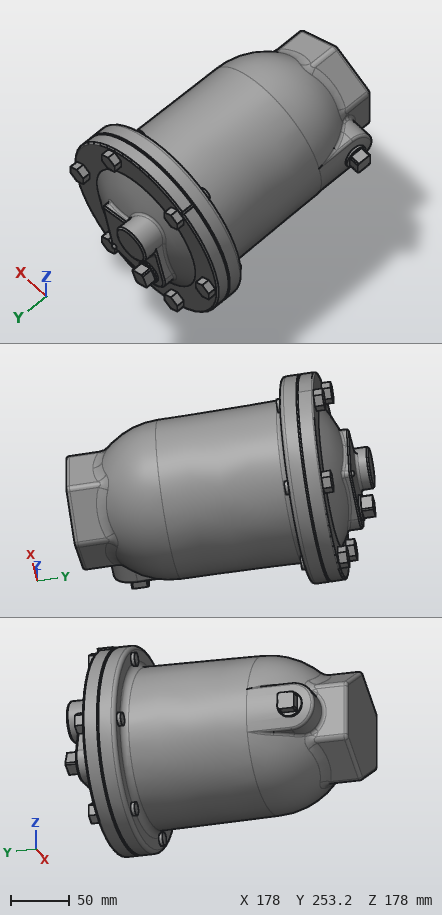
import cadquery as cq
import math


tolerance = 0.03

wall_radius_at_dome = 68.3
wall_radius_at_neck = 69.8
dome_center_y = 81.7
neck_y = 186.0

flange_radius = 178.0 / 2
flange_back_y = 191.8
flange_edge_radius = 3.5
gasket_y = 206.5
gasket_thickness = 1.5
gasket_inset = 0.5
cover_top_y = 221.0
cover_edge_radius = 1.5

hex_across_flats = 86.0
hex_corner_radius = 5.5
hex_end_radius = 3.0
hex_root_radius = 12.0

hex_half_angle = 30

lug_center_y = 42.8
lug_radius = 21.0
lug_inner_x = -30.4
lug_edge_radius = 2.5
lug_root_radius = 3.0

plug_disc_radius = 11.0
plug_disc_height = 1.8
plug_square = 14.7
plug_corner_chamfer = 1.3
plug_head_height = 9.9
plug_root = 2.5

cover_dome_foot_radius = 61.2
cover_dome_height = 19.0

plate_top_y = 241.5
plate_edge_chamfer = 1.5
plate_lobe_radius = 18.0
plate_corner_radius = 3.0
rivet_corner_radius = 4.5
cover_plug_center = (-26.3, -15.5)
cover_plug_turn = 25.0
plate_upper_left = (-28.3, 32.0)
plate_upper_right = (29.4, 17.5)
rivet_center = (16.7, -26.8)
rivet_radius = 2.5
inlet_center = (-15.0, 26.0)
inlet_radius = 18.0
inlet_edge_chamfer = 1.5
inlet_top_y = 253.0
cover_root_radius = 2.5

bolt_count = 6
bolt_circle_radius = 78.0
bolt_radius = 5.8
bolt_end_y = 188.5
bolt_head_across_flats = 16.0
bolt_head_height = 7.5

tab_angle = 120.0
tab_width = 2.0
tab_reach = 1.5
tab_root = 1.5


def plane_at(y, x=0.0, z=0.0):
    """Workplane facing -Y whose local axes are X and Z; extrude negative to go +Y."""
    return cq.Workplane("XZ", origin=(x, y, z))


def regular_hexagon(across_flats, y, depth, center=(0.0, 0.0)):
    """Hexagonal prism from y towards +Y with two corners on the Z direction."""
    across_corners = across_flats / math.cos(math.radians(hex_half_angle))
    return (
        plane_at(y, *center)
        .transformed(rotate=(0, 0, hex_half_angle))
        .polygon(6, across_corners)
        .extrude(-depth)
    )


def outline_around(circles, y, depth):
    """Prism whose outline wraps tightly around circles (x, z, radius), listed counter-clockwise."""
    normals = []
    for (x1, z1, r1), (x2, z2, r2) in zip(circles, circles[1:] + circles[:1]):
        heading = math.atan2(z2 - z1, x2 - x1)
        normal = heading - math.acos((r1 - r2) / math.hypot(x2 - x1, z2 - z1))
        normals.append(normal)
    outline = plane_at(y)
    for index, (x, z, r) in enumerate(circles):
        angle_in = normals[index - 1]
        sweep = (normals[index] - angle_in) % (2 * math.pi)
        points = [
            (x + r * math.cos(angle_in + part * sweep), z + r * math.sin(angle_in + part * sweep))
            for part in (0.0, 0.5, 1.0)
        ]
        outline = outline.lineTo(*points[0]) if index else outline.moveTo(*points[0])
        outline = outline.threePointArc(points[1], points[2])
    return outline.close().extrude(-depth)


def make_vessel():
    """Domed vessel wall and lower flange, turned about Y."""
    neck_fillet = flange_back_y - neck_y
    neck_mid = neck_fillet * (1 - math.sqrt(0.5))
    dome_mid = wall_radius_at_dome * math.sqrt(0.5)
    profile = (
        cq.Workplane("XY")
        .moveTo(0, dome_center_y - wall_radius_at_dome)
        .threePointArc((dome_mid, dome_center_y - dome_mid), (wall_radius_at_dome, dome_center_y))
        .lineTo(wall_radius_at_neck, neck_y)
        .threePointArc(
            (wall_radius_at_neck + neck_mid, flange_back_y - neck_mid),
            (wall_radius_at_neck + neck_fillet, flange_back_y),
        )
        .lineTo(flange_radius, flange_back_y)
        .lineTo(flange_radius, gasket_y)
        .lineTo(0, gasket_y)
        .close()
    )
    vessel = profile.revolve(360, (0, 0, 0), (0, 1, 0))

    def is_back_rim(edge):
        outer = edge.geomType() == "CIRCLE" and edge.radius() > flange_radius - tolerance
        return outer and abs(edge.Center().y - flange_back_y) < tolerance

    return vessel.edges().filter(is_back_rim).fillet(flange_edge_radius)


def make_hex_end():
    """Hexagonal end with rounded corners and a rounded end face."""
    prism = regular_hexagon(hex_across_flats, 0, dome_center_y)
    return prism.edges("|Y").fillet(hex_corner_radius).faces("<Y").edges().fillet(hex_end_radius)


def make_drain_lug():
    """Round-ended lug whose face carries on the cylinder of the vessel wall."""
    slot = (
        cq.Workplane("YZ", origin=(lug_inner_x, 0, 0))
        .moveTo(dome_center_y, lug_radius)
        .lineTo(lug_center_y, lug_radius)
        .threePointArc((lug_center_y - lug_radius, 0), (lug_center_y, -lug_radius))
        .lineTo(dome_center_y, -lug_radius)
        .close()
        .extrude(-2 * wall_radius_at_dome)
    )
    wall = plane_at(0).circle(wall_radius_at_dome).extrude(-dome_center_y)
    lug = slot.intersect(wall)

    def is_face_edge(edge):
        sample = edge.positionAt(0.5)
        from_axis = math.hypot(sample.x, sample.z)
        return abs(from_axis - wall_radius_at_dome) < tolerance and sample.y < dome_center_y - tolerance

    return lug.edges().filter(is_face_edge).fillet(lug_edge_radius)


def make_shell():
    """Vessel, hex end and drain lug in one piece, with the seams between them rounded."""
    joined = make_vessel().union(make_hex_end())

    def is_hex_seam(edge):
        """True on the closed chain of edges where the hexagon meets the dome."""
        sample = edge.positionAt(0.5)
        from_dome_center = math.dist(sample.toTuple(), (0, dome_center_y, 0))
        on_dome = abs(from_dome_center - wall_radius_at_dome) < tolerance
        return on_dome and sample.y < lug_center_y

    shell = joined.edges().filter(is_hex_seam).fillet(hex_root_radius).union(make_drain_lug())

    def is_lug_root(edge):
        """True on the curved edges where the lug sides run into the dome and the hex end."""
        sample = edge.positionAt(0.5)
        from_slot_line = math.hypot(min(sample.y - lug_center_y, 0), sample.z)
        on_lug_side = abs(from_slot_line - lug_radius) < tolerance
        inside_face = math.hypot(sample.x, sample.z) < wall_radius_at_dome - 2 * lug_edge_radius
        return on_lug_side and inside_face and edge.geomType() != "LINE"

    return shell.edges().filter(is_lug_root).fillet(lug_root_radius)


def make_plug(base, turn=0.0):
    """Pipe plug rooted on a workplane: a sealing disc and a square drive with bevelled corners."""
    drive_height = plug_root + plug_disc_height + plug_head_height
    disc = base.circle(plug_disc_radius).extrude(plug_root + plug_disc_height)
    drive = cq.Workplane("XY").rect(plug_square, plug_square).extrude(drive_height)
    drive = drive.edges("|Z").chamfer(plug_corner_chamfer).rotate((0, 0, 0), (0, 0, 1), turn)
    return disc.union(cq.Workplane(drive.val().located(base.plane.location)))


def make_cover_dome():
    """Shallow spherical cap on top of the cover flange."""
    sphere_radius = (cover_dome_foot_radius**2 + cover_dome_height**2) / (2 * cover_dome_height)
    half_angle = math.asin(cover_dome_foot_radius / sphere_radius) / 2
    center_y = cover_top_y + cover_dome_height - sphere_radius
    mid = (sphere_radius * math.sin(half_angle), center_y + sphere_radius * math.cos(half_angle))
    return (
        cq.Workplane("XY")
        .moveTo(0, cover_top_y)
        .lineTo(cover_dome_foot_radius, cover_top_y)
        .threePointArc(mid, (0, cover_top_y + cover_dome_height))
        .close()
        .revolve(360, (0, 0, 0), (0, 1, 0))
    )


def make_cover_flange():
    """Gasket and cover flange."""
    cover_y = gasket_y + gasket_thickness
    gasket = plane_at(gasket_y).circle(flange_radius - gasket_inset).extrude(-gasket_thickness)
    plate = plane_at(cover_y).circle(flange_radius).extrude(-(cover_top_y - cover_y))
    return gasket.union(plate.faces(">Y").edges().fillet(cover_edge_radius))


def make_cover_plate():
    """Raised plate on the cover dome."""
    plate = outline_around(
        [
            cover_plug_center + (plate_lobe_radius,),
            rivet_center + (rivet_corner_radius,),
            plate_upper_right + (plate_corner_radius,),
            plate_upper_left + (plate_corner_radius,),
        ],
        cover_top_y,
        plate_top_y - cover_top_y,
    )
    return plate.faces(">Y").edges().chamfer(plate_edge_chamfer)


def make_inlet_boss():
    """Round inlet boss with a bevelled rim."""
    boss = plane_at(cover_top_y, *inlet_center).circle(inlet_radius).extrude(cover_top_y - inlet_top_y)
    return boss.faces(">Y").edges().chamfer(inlet_edge_chamfer)


def make_rivet():
    """Round-headed rivet: a ball sunk to half its height in the cover plate."""
    x, z = rivet_center
    return cq.Workplane("XY", origin=(x, plate_top_y, z)).sphere(rivet_radius)


def make_raised_cover():
    """Cover plate and inlet boss, with the seam between them rounded."""

    def is_boss_seam(edge):
        sample = edge.positionAt(0.5)
        from_boss_axis = math.hypot(sample.x - inlet_center[0], sample.z - inlet_center[1])
        on_plate_top = edge.geomType() == "CIRCLE" and abs(sample.y - plate_top_y) < tolerance
        return on_plate_top and abs(from_boss_axis - inlet_radius) < tolerance

    raised = make_cover_plate().union(make_inlet_boss())
    return raised.edges().filter(is_boss_seam).fillet(cover_root_radius)


def make_cover():
    """Cover with its dome, plate and inlet boss, rounded where these meet the dome."""
    cover = make_cover_flange().union(make_cover_dome()).union(make_raised_cover())
    dome_top_y = cover_top_y + cover_dome_height

    def is_dome_seam(edge):
        height = edge.Center().y
        on_dome = cover_top_y + tolerance < height < dome_top_y - tolerance
        return on_dome and edge.geomType() != "LINE"

    return cover.edges().filter(is_dome_seam).fillet(cover_root_radius).union(make_rivet())


def make_bolt(angle):
    """Bolt through both flanges with a hex head on the cover."""
    center = (
        bolt_circle_radius * math.cos(math.radians(angle)),
        bolt_circle_radius * math.sin(math.radians(angle)),
    )
    shank = plane_at(bolt_end_y, *center).circle(bolt_radius).extrude(bolt_end_y - cover_top_y)
    return shank.union(regular_hexagon(bolt_head_across_flats, cover_top_y, bolt_head_height, center))


def make_tab():
    """Narrow radial bar on the cover rim."""
    cover_y = gasket_y + gasket_thickness
    depth = cover_top_y - cover_y
    bar = cq.Workplane("XY").box(tab_root + tab_reach, depth, tab_width, centered=(False, False, True))
    bar = bar.translate((flange_radius - tab_root, cover_y, 0))
    return bar.rotate((0, 0, 0), (0, 1, 0), -tab_angle)


drain_face = cq.Plane(origin=(plug_root - wall_radius_at_dome, lug_center_y, 0), normal=(-1, 0, 0))
drain_plug = make_plug(cq.Workplane(drain_face))

cover_plug_x, cover_plug_z = cover_plug_center
cover_face = cq.Workplane("ZX", origin=(cover_plug_x, plate_top_y - plug_root, cover_plug_z))
cover_plug = make_plug(cover_face, cover_plug_turn)

result = make_shell().union(drain_plug).union(make_cover()).union(cover_plug).union(make_tab())
for bolt in range(bolt_count):
    result = result.union(make_bolt(bolt * 360 / bolt_count))